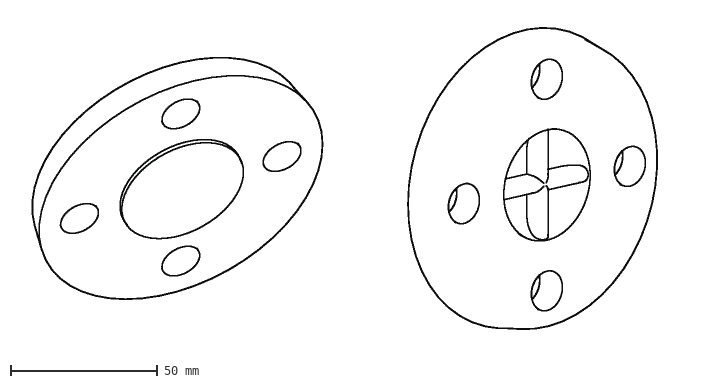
import cadquery as cq
import math

disc_diameter = 105.0
disc_thickness = 12.0
rim_draft = 10.0
front_edge_fillet = 1.5

total_thickness = 13.5
pad_diameter = 45.0

hole_diameter = 14.0
hole_circle_radius = 37.5
hole_count = 4

recess_floor_diameter = 25.0
recess_depth = 7.0
recess_radius = recess_floor_diameter / 2 + recess_depth

bar_width = 6.0
bar_setback = 1.0
bar_count = 2


def x_cylinder(diameter, x_start, x_end):
    return cq.Workplane("YZ", origin=(x_start, 0, 0)).circle(diameter / 2).extrude(x_end - x_start)


def make_disc():
    """Tapered disc with a rounded front edge and the pad on its back."""
    back_radius = disc_diameter / 2
    front_radius = back_radius - disc_thickness * math.tan(math.radians(rim_draft))
    disc = (
        cq.Workplane("XY")
        .polyline([(0, 0), (0, front_radius), (disc_thickness, back_radius), (disc_thickness, 0)])
        .close()
        .revolve(360, (0, 0, 0), (1, 0, 0))
        .faces("<X")
        .edges()
        .fillet(front_edge_fillet)
    )
    return disc.union(x_cylinder(pad_diameter, disc_thickness, total_thickness))


def make_recess():
    """Volume of the dished recess before the bars are left standing in it."""
    arc_offset = recess_depth * math.sqrt(0.5)
    floor_radius = recess_floor_diameter / 2
    return (
        cq.Workplane("XY")
        .lineTo(recess_depth, 0)
        .lineTo(recess_depth, floor_radius)
        .threePointArc((arc_offset, floor_radius + arc_offset), (0, recess_radius))
        .close()
        .revolve(360, (0, 0, 0), (1, 0, 0))
    )


def make_bar():
    """Bar along Z spanning the recess and standing on its floor."""
    half_width = bar_width / 2
    return (
        cq.Workplane("XY")
        .moveTo(recess_depth, -half_width)
        .lineTo(bar_setback + half_width, -half_width)
        .threePointArc((bar_setback, 0), (bar_setback + half_width, half_width))
        .lineTo(recess_depth, half_width)
        .close()
        .extrude(recess_radius, both=True)
    )


def make_holes():
    hole = x_cylinder(hole_diameter, 0, disc_thickness).translate((0, 0, hole_circle_radius))
    holes = cq.Workplane("YZ")
    for index in range(hole_count):
        holes = holes.add(hole.rotate((0, 0, 0), (1, 0, 0), index * 360 / hole_count))
    return holes.combine()


recess = make_recess()
for index in range(bar_count):
    recess = recess.cut(make_bar().rotate((0, 0, 0), (1, 0, 0), index * 180 / bar_count))

result = make_disc().cut(recess).cut(make_holes())